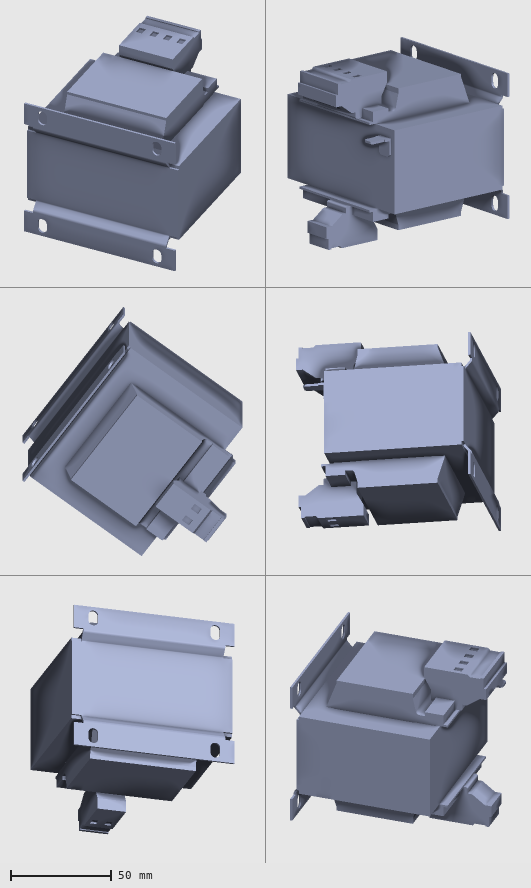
import cadquery as cq
import math

CORE_WIDTH = 84.0
CORE_HALF_HEIGHT = 21.8
CORE_FRONT = 4.55
CORE_BACK = 74.2
WINDOW_FRONT = 18.5
WINDOW_BACK = 60.7
WINDOW_GAP = 0.4

SHEET = 1.1
PLATE_FACE = CORE_FRONT - SHEET
PLATE_HALF_HEIGHT = 20.0
BEND_INSIDE_RADIUS = 0.8
BEND_OUTSIDE_RADIUS = BEND_INSIDE_RADIUS + SHEET
BEND_END = 24.9
NECK_WIDTH = 74.1
FLANGE_START = 25.6
FLANGE_END = 37.8
SLOT_WIDTH = 5.0
SLOT_LENGTH = 8.0
SLOT_OFFSET = 31.9

BOBBIN_WIDTH = 55.2
CROWN_FRONT = 19.3
CROWN_BACK = 59.9
TOP_HEIGHT = 37.8
TOP_NOSE_FRONT = 13.9
TOP_NOSE_HEIGHT = 36.2
BOTTOM_HEIGHT = 35.95
BOTTOM_NOSE_FRONT = 15.5
BOTTOM_NOSE_HEIGHT = 33.8
CROWN_BACK_DROP = 2.8
GROOVE_FRONT = 62.0
GROOVE_FLOOR = 26.4
GROOVE_RADIUS = 2.1
RAIL_FRONT = 66.3
RAIL_BACK = 76.3
RAIL_HEIGHT = 28.6
LIP_BACK = 78.5
LIP_TOP = 23.3
LIP_BOTTOM = 22.2
LIP_START = 72.2

BLOCK_WIDTH = 15.0
BLOCK_CENTER = -3.8
BLOCK_HEIGHT = 44.7
BLOCK_FRONT = CROWN_BACK
BLOCK_BACK = 92.9
FRONT_FACE_BOTTOM = 39.0
BEVEL_START = 83.05
SHELF_FRONT = 84.2
SHELF_HEIGHT = 43.5
RIM_FRONT = 89.8
RIM_BACK = 91.6
RIM_HEIGHT = 44.0
ENTRY_TOP = 38.2
ENTRY_BOTTOM = 32.05
SLOPE_BACK = 89.5
SLOPE_FRONT = 82.7
SLOPE_BOTTOM = 27.1
STEM_FRONT = 63.6
STEM_TOP = 32.4
FOOT_BACK = 80.4
FOOT_BOTTOM = 23.7
FOOT_RADIUS = 0.9
POCKET_WIDTH = 3.3
POCKET_LENGTH = 4.4
POCKET_DEPTH = 1.0
POCKET_CENTER_Y = 76.9
POCKET_PITCH = BLOCK_WIDTH / 2

TAB_CENTER = -34.9
TAB_BASE_WIDTH = 8.1
TAB_BLADE_WIDTH = 6.6
TAB_BLADE_SHEET = 1.2
TAB_LEG_SHEET = 0.8
TAB_TOP = 16.9
TAB_LEG_END = 7.2
TAB_SHOULDER = 77.85
TAB_TIP = 85.8
TAB_TIP_CHAMFER = 1.2
TAB_LEG_CHAMFER = 1.1


def box_between(x_range, y_range, z_range):
    """Box spanning the given (low, high) ranges."""
    sizes = [high - low for low, high in (x_range, y_range, z_range)]
    corner = (x_range[0], y_range[0], z_range[0])
    return cq.Workplane("XY").box(*sizes, centered=False).translate(corner)


def across(width):
    """Range of the given width centred on zero."""
    return (-width / 2, width / 2)


def prism(outline, width, center=0.0):
    """Extrude a (Y, Z) outline along X, centred on the given X."""
    start = center - width / 2
    return cq.Workplane("YZ").workplane(offset=start).polyline(outline).close().extrude(width)


def mirrored(body):
    """Copy of a body reflected to the underside."""
    return body.mirror("XY")


def make_core():
    """Core block with the narrow gaps left between its window and the bobbin."""
    core = box_between(
        across(CORE_WIDTH), (CORE_FRONT, CORE_BACK), across(2 * CORE_HALF_HEIGHT)
    )
    for side in (-1, 1):
        inner = side * BOBBIN_WIDTH / 2
        outer = inner + side * WINDOW_GAP
        gap = box_between(
            (min(inner, outer), max(inner, outer)),
            (WINDOW_FRONT, WINDOW_BACK),
            across(2 * CORE_HALF_HEIGHT),
        )
        core = core.cut(gap)
    return core


def make_bracket_flange():
    """Upper joggled neck and slotted flange of the bracket."""
    depth = PLATE_FACE
    length = BEND_END - PLATE_HALF_HEIGHT
    radii = BEND_INSIDE_RADIUS + BEND_OUTSIDE_RADIUS
    diagonal = math.sqrt(depth**2 + length**2 - 2 * radii * depth)
    angle = 2 * math.atan2(length - diagonal, 2 * radii - depth)
    half_tangent = math.tan(angle / 2)
    inner_corner = PLATE_HALF_HEIGHT + BEND_INSIDE_RADIUS * half_tangent
    outer_corner = BEND_END - BEND_OUTSIDE_RADIUS * half_tangent
    shift = SHEET * half_tangent
    neck = prism(
        [
            (PLATE_FACE, 0),
            (PLATE_FACE, inner_corner),
            (0, outer_corner),
            (0, FLANGE_START),
            (SHEET, FLANGE_START),
            (SHEET, outer_corner + shift),
            (CORE_FRONT, inner_corner + shift),
            (CORE_FRONT, 0),
        ],
        NECK_WIDTH,
    )
    bends = [
        (PLATE_FACE, inner_corner, BEND_INSIDE_RADIUS),
        (0, outer_corner, BEND_OUTSIDE_RADIUS),
        (SHEET, outer_corner + shift, BEND_INSIDE_RADIUS),
        (CORE_FRONT, inner_corner + shift, BEND_OUTSIDE_RADIUS),
    ]
    for y, z, radius in bends:
        corner_edge = cq.selectors.NearestToPointSelector((0, y, z))
        neck = neck.edges("|X").edges(corner_edge).fillet(radius)

    flange = box_between(across(CORE_WIDTH), (0, SHEET), (FLANGE_START, FLANGE_END))
    slots = (
        cq.Workplane("XZ")
        .pushPoints([(-SLOT_OFFSET, SLOT_OFFSET), (SLOT_OFFSET, SLOT_OFFSET)])
        .slot2D(SLOT_LENGTH, SLOT_WIDTH, 90)
        .extrude(-SHEET)
    )
    return neck.union(flange.cut(slots))


def make_bracket():
    """Plate on the front of the core with a flange above and below."""
    plate = box_between(
        across(CORE_WIDTH), (PLATE_FACE, CORE_FRONT), across(2 * PLATE_HALF_HEIGHT)
    )
    flange = make_bracket_flange()
    return plate.union(flange).union(mirrored(flange))


def make_bobbin_half(height, nose_height, nose_front):
    """Half of the bobbin above the core, with the rail that carries the terminal blocks."""
    half = prism(
        [
            (nose_front, CORE_HALF_HEIGHT),
            (CROWN_FRONT, nose_height),
            (CROWN_FRONT, height),
            (CROWN_BACK, height),
            (CROWN_BACK, height - CROWN_BACK_DROP),
            (GROOVE_FRONT, GROOVE_FLOOR),
            (RAIL_FRONT, GROOVE_FLOOR),
            (RAIL_FRONT, RAIL_HEIGHT),
            (RAIL_BACK, RAIL_HEIGHT),
            (RAIL_BACK, LIP_TOP),
            (LIP_BACK, LIP_TOP),
            (LIP_BACK, LIP_BOTTOM),
            (LIP_START, LIP_BOTTOM),
            (LIP_START, CORE_HALF_HEIGHT),
        ],
        BOBBIN_WIDTH,
    )
    groove_edge = cq.selectors.NearestToPointSelector((0, GROOVE_FRONT, GROOVE_FLOOR))
    return half.edges("|X").edges(groove_edge).fillet(GROOVE_RADIUS)


def make_terminal_block(center):
    """One terminal block on the upper rail, with two pockets in its outer face."""
    block = prism(
        [
            (BLOCK_FRONT, BLOCK_HEIGHT),
            (BEVEL_START, BLOCK_HEIGHT),
            (SHELF_FRONT, SHELF_HEIGHT),
            (RIM_FRONT, SHELF_HEIGHT),
            (RIM_FRONT, RIM_HEIGHT),
            (RIM_BACK, RIM_HEIGHT),
            (RIM_BACK, ENTRY_TOP),
            (BLOCK_BACK, ENTRY_TOP),
            (BLOCK_BACK, ENTRY_BOTTOM),
            (SLOPE_BACK, ENTRY_BOTTOM),
            (SLOPE_FRONT, SLOPE_BOTTOM),
            (FOOT_BACK, SLOPE_BOTTOM),
            (FOOT_BACK, FOOT_BOTTOM),
            (RAIL_BACK, FOOT_BOTTOM),
            (RAIL_BACK, RAIL_HEIGHT),
            (RAIL_FRONT, RAIL_HEIGHT),
            (RAIL_FRONT, GROOVE_FLOOR),
            (STEM_FRONT, GROOVE_FLOOR),
            (STEM_FRONT, STEM_TOP),
            (BLOCK_FRONT, FRONT_FACE_BOTTOM),
        ],
        BLOCK_WIDTH,
        center,
    )
    foot_edge = cq.selectors.NearestToPointSelector((center, FOOT_BACK, FOOT_BOTTOM))
    block = block.edges("|X").edges(foot_edge).fillet(FOOT_RADIUS)
    pockets = (
        cq.Workplane("XY")
        .workplane(offset=BLOCK_HEIGHT - POCKET_DEPTH)
        .pushPoints([(center + side * POCKET_PITCH / 2, POCKET_CENTER_Y) for side in (-1, 1)])
        .rect(POCKET_WIDTH, POCKET_LENGTH)
        .extrude(POCKET_DEPTH)
    )
    return block.cut(pockets)


def make_earth_tab():
    """Angle-shaped tab: a leg on the back of the core and a blade pointing backward."""
    base = (TAB_CENTER - TAB_BASE_WIDTH / 2, TAB_CENTER + TAB_BASE_WIDTH / 2)
    blade_span = (TAB_CENTER - TAB_BLADE_WIDTH / 2, TAB_CENTER + TAB_BLADE_WIDTH / 2)
    thickness = (TAB_TOP - TAB_BLADE_SHEET, TAB_TOP)
    leg = box_between(base, (CORE_BACK, CORE_BACK + TAB_LEG_SHEET), (TAB_LEG_END, TAB_TOP))
    leg = leg.edges("|Y and <Z").chamfer(TAB_LEG_CHAMFER)
    shoulder = box_between(base, (CORE_BACK, TAB_SHOULDER), thickness)
    blade = box_between(blade_span, (CORE_BACK, TAB_TIP), thickness)
    blade = blade.edges("|Z and >Y").chamfer(TAB_TIP_CHAMFER)
    return leg.union(shoulder).union(blade)


result = make_core().union(make_bracket())
result = result.union(make_bobbin_half(TOP_HEIGHT, TOP_NOSE_HEIGHT, TOP_NOSE_FRONT))
result = result.union(
    mirrored(make_bobbin_half(BOTTOM_HEIGHT, BOTTOM_NOSE_HEIGHT, BOTTOM_NOSE_FRONT))
)
for side in (-1, 1):
    result = result.union(make_terminal_block(BLOCK_CENTER + side * BLOCK_WIDTH / 2))
result = result.union(mirrored(make_terminal_block(BLOCK_CENTER)))
result = result.union(make_earth_tab())